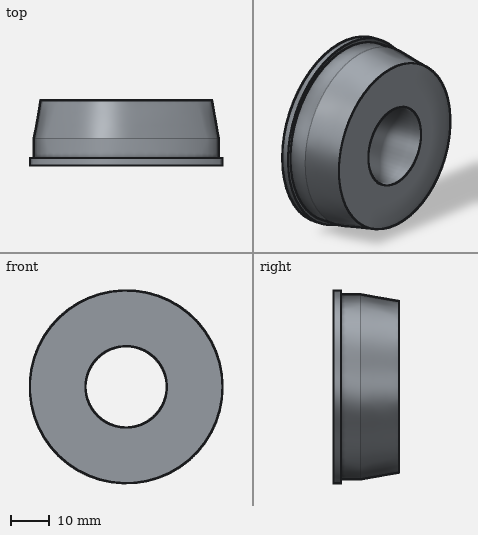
import cadquery as cq
import math

flange_diameter = 50.0
flange_thickness = 2.0
body_diameter = 48.0
body_length = 5.0
taper_length = 10.0
taper_angle = 10.0
bore_diameter = 21.0

flange_radius = flange_diameter / 2
body_radius = body_diameter / 2
bore_radius = bore_diameter / 2
tip_radius = body_radius - taper_length * math.tan(math.radians(taper_angle))
body_end = flange_thickness + body_length
total_length = body_end + taper_length

half_section = (
    cq.Workplane("XY")
    .moveTo(bore_radius, 0)
    .lineTo(flange_radius, 0)
    .lineTo(flange_radius, flange_thickness)
    .lineTo(body_radius, flange_thickness)
    .lineTo(body_radius, body_end)
    .lineTo(tip_radius, total_length)
    .lineTo(bore_radius, total_length)
    .close()
)

result = half_section.revolve(360, (0, 0, 0), (0, 1, 0))